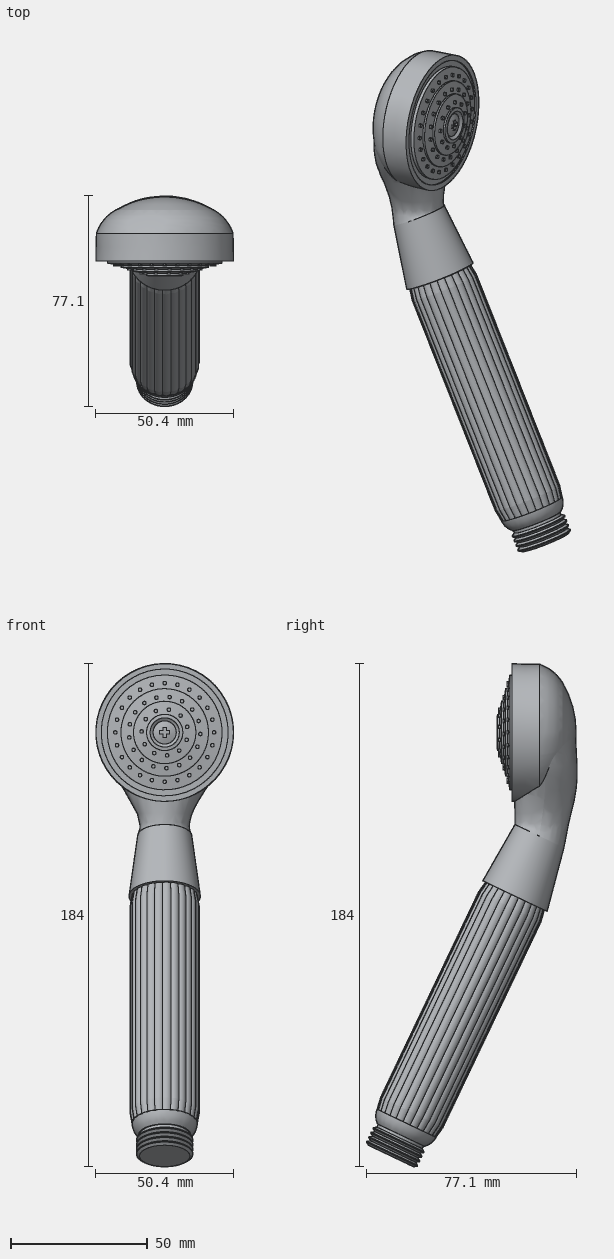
import cadquery as cq
import math


OVERALL_HEIGHT = 184.0

HEAD_R = 25.2
HEAD_SIDE = 10.1
HEAD_DEPTH = 23.5
SIDE_END_R = 25.0
SHOULDER_MID_R = 22.5
SHOULDER_MID_Y = 14.9
DOME_EDGE_R = 18.2
DOME_EDGE_Y = 18.5
RIM_INNER_R = 23.2
RIM_GROOVE = 0.5

TIER_RADII = [21.0, 16.0, 11.4, 6.6]
TIER_RISER = 0.7
TIER_SLOPE = 0.16
MOAT_OUTER_R = 5.3
MOAT_INNER_R = 4.2
MOAT_DEPTH = 1.0
BUTTON_RISE = 1.0
CROSS_LENGTH = 3.7
CROSS_WIDTH = 1.3
CROSS_DEPTH = 1.1

NOZZLE_ROWS = [(18.0, 24, 0), (13.0, 17, -2.5), (8.5, 11, 14)]
NOZZLE_R = 0.65
NOZZLE_HEIGHT = 0.5

HANDLE_TILT = 25.5
HANDLE_END_Y = -44.2
REED_COUNT = 25
REED_CREST_R = 12.7
REED_ROOT_R = 12.1
REED_START = 13.2
REED_FULL_START = 17.7
REED_FULL_END = 100.8
HANDLE_LENGTH = 105.2
HANDLE_EDGE_R = 12.0

COLLAR_START = 8.5
COLLAR_MID = 10.9
COLLAR_MID_R = 11.4
COLLAR_NECK_R = 9.5
THREAD_ROOT_R = 9.2
THREAD_CREST_R = 10.3
THREAD_PITCH = 1.8
THREAD_COUNT = 4
THREAD_FLAT = 0.4

NECK_END_R = 13.0
NECK_TOP_R = 10.0
NECK_TOP_Y = 10.1
NECK_TOP_Z = -37.9
NECK_SECTIONS = [
    (-28.1, 11.5, 10.7, 10.5),
    (-22.0, 12.1, 14.2, 11.2),
    (-13.6, 12.1, 19.3, 11.8),
    (0.0, 12.0, 20.2, 11.4),
]

tilt = math.radians(HANDLE_TILT)
axis = cq.Vector(0, math.sin(tilt), math.cos(tilt))
across = cq.Vector(1, 0, 0)
handle_end_z = HEAD_R - OVERALL_HEIGHT + THREAD_ROOT_R * math.sin(tilt)
handle_end = cq.Vector(0, HANDLE_END_Y, handle_end_z)


def handle_plane(station):
    """Plane square to the handle axis at a distance from the threaded end."""
    return cq.Plane(origin=handle_end + axis * station, xDir=across, normal=axis)


def tier_edges():
    """Radius and Y of the foot and top of each riser on the spray plate."""
    edges = []
    y = 0
    previous = TIER_RADII[0]
    for radius in TIER_RADII:
        y -= TIER_SLOPE * (previous - radius)
        edges.append((radius, y, y - TIER_RISER))
        y -= TIER_RISER
        previous = radius
    return edges


def plate_y(radius):
    """Y of the sloping spray plate surface at a radius."""
    edge_r, _, top_y = [edge for edge in tier_edges() if edge[0] >= radius][-1]
    return top_y - TIER_SLOPE * (edge_r - radius)


def make_head():
    """Turned shell and stepped spray plate with a crossed button in the middle."""
    cap_height = HEAD_DEPTH - DOME_EDGE_Y
    cap_r = (DOME_EDGE_R**2 + cap_height**2) / (2 * cap_height)
    cap_mid_r = DOME_EDGE_R / 2
    cap_mid_y = HEAD_DEPTH - cap_r + math.sqrt(cap_r**2 - cap_mid_r**2)

    moat_y = plate_y(MOAT_OUTER_R)
    profile = (
        cq.Workplane("XY")
        .moveTo(0, HEAD_DEPTH)
        .threePointArc((cap_mid_r, cap_mid_y), (DOME_EDGE_R, DOME_EDGE_Y))
        .threePointArc((SHOULDER_MID_R, SHOULDER_MID_Y), (SIDE_END_R, HEAD_SIDE))
        .lineTo(HEAD_R, 0)
        .lineTo(RIM_INNER_R, 0)
        .lineTo(RIM_INNER_R, RIM_GROOVE)
        .lineTo(TIER_RADII[0], RIM_GROOVE)
    )
    for radius, foot_y, top_y in tier_edges():
        profile = profile.lineTo(radius, foot_y).lineTo(radius, top_y)
    button_y = moat_y + MOAT_DEPTH
    apex_y = button_y - BUTTON_RISE
    button_r = (MOAT_INNER_R**2 + BUTTON_RISE**2) / (2 * BUTTON_RISE)
    button_mid_r = MOAT_INNER_R / 2
    button_mid_y = apex_y + button_r - math.sqrt(button_r**2 - button_mid_r**2)
    profile = (
        profile.lineTo(MOAT_OUTER_R, moat_y)
        .lineTo(MOAT_INNER_R, button_y)
        .threePointArc((button_mid_r, button_mid_y), (0, apex_y))
        .close()
    )
    head = profile.revolve(360, (0, 0), (0, 1))

    arm = cq.Workplane("XY").box(CROSS_LENGTH, 2 * CROSS_DEPTH, CROSS_WIDTH)
    cross = arm.union(arm.rotate((0, 0, 0), (0, 1, 0), 90)).translate((0, apex_y, 0))
    return head.cut(cross)


def make_nozzles():
    """Rings of small round pips standing on the spray plate."""
    nozzles = []
    for circle_r, count, first_angle in NOZZLE_ROWS:
        surface_y = plate_y(circle_r)
        for i in range(count):
            angle = math.radians(first_angle + 360 * i / count)
            foot = cq.Vector(
                circle_r * math.cos(angle), surface_y + NOZZLE_HEIGHT, circle_r * math.sin(angle)
            )
            nozzles.append(
                cq.Solid.makeCylinder(NOZZLE_R, 2 * NOZZLE_HEIGHT, foot, cq.Vector(0, -1, 0))
            )
    return nozzles


def make_neck():
    """Round cone above the handle, blended upward into the head."""
    end = cq.Wire.makeCircle(NECK_END_R, handle_end + axis * HANDLE_LENGTH, axis)
    top = cq.Wire.makeCircle(NECK_TOP_R, cq.Vector(0, NECK_TOP_Y, NECK_TOP_Z), axis)
    cone = cq.Solid.makeLoft([end, top], True)
    wires = [top]
    for height, centre_y, half_width, half_depth in NECK_SECTIONS:
        section = cq.Workplane("XY", origin=(0, centre_y, height)).ellipse(half_width, half_depth)
        wires.append(section.wires().val())
    return cq.Workplane(cone).union(cq.Workplane(cq.Solid.makeLoft(wires)))


def reed_outline(station, scale):
    """Closed outline of convex reeds, with one root on the -X side, scaled about the axis."""
    step = 2 * math.pi / REED_COUNT

    def polar(radius, turns):
        angle = math.pi + turns * step
        return (scale * radius * math.cos(angle), scale * radius * math.sin(angle))

    outline = cq.Workplane(handle_plane(station)).moveTo(*polar(REED_ROOT_R, 0))
    for i in range(REED_COUNT):
        outline = outline.threePointArc(polar(REED_CREST_R, i + 0.5), polar(REED_ROOT_R, i + 1))
    return outline.wire().val()


def make_reeds():
    taper = HANDLE_EDGE_R / REED_CREST_R
    sections = [
        reed_outline(REED_START, taper),
        reed_outline(REED_FULL_START, 1),
        reed_outline(REED_FULL_END, 1),
        reed_outline(HANDLE_LENGTH, taper),
    ]
    return cq.Workplane(cq.Solid.makeLoft(sections, True))


def axial_sketch():
    """Sketch plane holding the handle axis: radius along x, station along y."""
    return cq.Workplane(cq.Plane(origin=handle_end, xDir=across, normal=across.cross(axis)))


def on_handle_axis(points):
    """Solid turned about the handle axis from (radius, station) points."""
    return axial_sketch().polyline(points).close().revolve(360, (0, 0), (0, 1))


def make_collar():
    """Rounded shoulder between the reeds and the thread."""
    return (
        axial_sketch()
        .moveTo(0, COLLAR_START)
        .lineTo(COLLAR_NECK_R, COLLAR_START)
        .threePointArc((COLLAR_MID_R, COLLAR_MID), (HANDLE_EDGE_R, REED_START))
        .lineTo(0, REED_START)
        .close()
        .revolve(360, (0, 0), (0, 1))
    )


def make_thread():
    """Threaded end as a row of parallel ridges."""
    points = [(0, 0), (THREAD_ROOT_R, 0)]
    for i in range(THREAD_COUNT):
        middle = (i + 0.5) * THREAD_PITCH
        points += [
            (THREAD_CREST_R, middle - THREAD_FLAT / 2),
            (THREAD_CREST_R, middle + THREAD_FLAT / 2),
            (THREAD_ROOT_R, (i + 1) * THREAD_PITCH),
        ]
    points += [(THREAD_ROOT_R, COLLAR_START), (0, COLLAR_START)]
    return on_handle_axis(points)


head = make_head().union(make_neck())
for nozzle in make_nozzles():
    head = head.union(cq.Workplane(nozzle))
result = head.union(make_reeds()).union(make_collar()).union(make_thread())